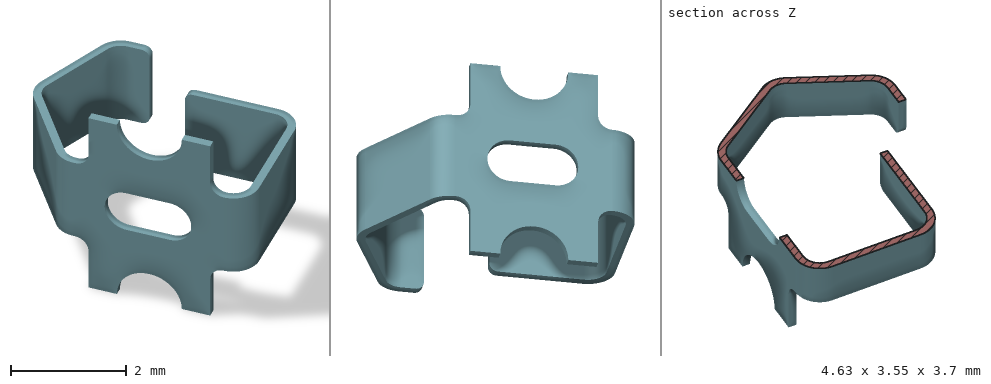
import cadquery as cq
import math


thickness = 0.15
bend_radius = 0.475
strip_height = 1.6
tip_corner_radius = 0.15

plate_width = 2.25
plate_height = 3.7
notch_radius = 0.6
root_fillet = 0.25
slot_length = 1.6
slot_height = 0.8
slot_center_x = -0.025

right_bend_x = plate_width / 2 + root_fillet
left_bend_x = 1.41

right_arm_depth = 2.67
right_tip_length = 1.67
right_wall_length = right_arm_depth - 2 * bend_radius

clip_depth = 3.55
first_turn = 55
second_turn = 60
third_turn = 180 - first_turn - second_turn
left_lower_length = 1.56
left_tip_length = 0.41
upper_slope = math.radians(third_turn)
lower_slope = math.radians(first_turn)
left_upper_length = (
    clip_depth - 2 * bend_radius - left_lower_length * math.sin(lower_slope)
) / math.sin(upper_slope)


def step(point, angle, distance):
    """Point reached from `point` by moving `distance` along `angle` (degrees)."""
    direction = math.radians(angle)
    return (
        point[0] + distance * math.cos(direction),
        point[1] + distance * math.sin(direction),
    )


def extrude_strip(profile):
    return profile.close().extrude(strip_height / 2, both=True)


def straight_wall(start, heading, length):
    """Flat wall whose outer face starts at `start`; the sheet lies to the left of it."""
    end = step(start, heading, length)
    inward = heading + 90
    profile = (
        cq.Workplane("XY")
        .moveTo(*start)
        .lineTo(*end)
        .lineTo(*step(end, inward, thickness))
        .lineTo(*step(start, inward, thickness))
    )
    return extrude_strip(profile), end


def bend(start, heading, turn):
    """Left-hand bend by `turn` degrees, starting on the outer face at `start`."""
    center = step(start, heading + 90, bend_radius)
    inner_radius = bend_radius - thickness
    start_angle = heading - 90
    middle_angle = start_angle + turn / 2
    end_angle = start_angle + turn
    end = step(center, end_angle, bend_radius)
    profile = (
        cq.Workplane("XY")
        .moveTo(*start)
        .threePointArc(step(center, middle_angle, bend_radius), end)
        .lineTo(*step(center, end_angle, inner_radius))
        .threePointArc(
            step(center, middle_angle, inner_radius),
            step(center, start_angle, inner_radius),
        )
    )
    return extrude_strip(profile), end


def arm_pieces(start_x, folds):
    """Pieces of an arm leaving the plate toward +X; `folds` lists (turn, wall length).

    The last wall runs toward -X and has rounded corners at its free end.
    """
    point = (start_x, 0)
    heading = 0
    pieces = []
    for turn, length in folds:
        curved, point = bend(point, heading, turn)
        heading += turn
        wall, point = straight_wall(point, heading, length)
        pieces += [curved, wall]
    pieces[-1] = pieces[-1].faces("<X").edges("|Y").fillet(tip_corner_radius)
    return pieces


def make_plate():
    back_plane = cq.Workplane("XZ", origin=(0, thickness, 0))
    band = (
        back_plane.center((right_bend_x - left_bend_x) / 2, 0)
        .rect(right_bend_x + left_bend_x, strip_height)
        .extrude(thickness)
    )
    plate = back_plane.rect(plate_width, plate_height).extrude(thickness).union(band)

    root_width = plate_width + 2 * root_fillet
    root_height = strip_height + 2 * root_fillet
    root_circles = (
        back_plane.rect(root_width, root_height, forConstruction=True)
        .vertices()
        .circle(root_fillet)
        .extrude(thickness)
    )
    root_block = back_plane.rect(root_width, root_height).extrude(thickness).cut(root_circles)
    plate = plate.union(root_block)

    notches = (
        back_plane.pushPoints([(0, -plate_height / 2), (0, plate_height / 2)])
        .circle(notch_radius)
        .extrude(thickness)
    )
    slot = back_plane.center(slot_center_x, 0).slot2D(slot_length, slot_height).extrude(thickness)
    return plate.cut(notches).cut(slot)


right_arm = arm_pieces(right_bend_x, [(90, right_wall_length), (90, right_tip_length)])
left_arm = arm_pieces(
    left_bend_x,
    [
        (first_turn, left_lower_length),
        (second_turn, left_upper_length),
        (third_turn, left_tip_length),
    ],
)

result = make_plate()
for piece in right_arm:
    result = result.union(piece, clean=False)
for piece in left_arm:
    result = result.union(piece.mirror("YZ"), clean=False)